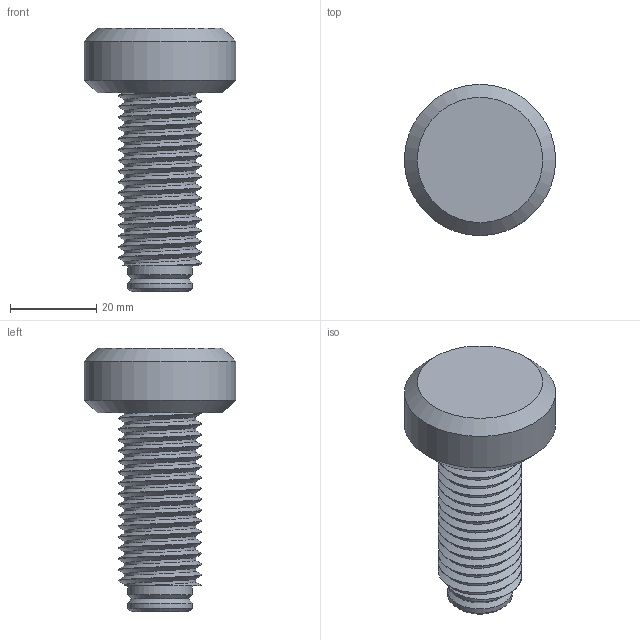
import cadquery as cq

head_diameter = 35.0
head_height = 15.0
head_chamfer = 3.0

thread_length = 40.0
thread_pitch = 2.5
thread_major_diameter = 19.39
thread_minor_diameter = 16.54
thread_crest_width = 0.08
thread_root_width = 0.72
crest_height_at_plus_x = thread_pitch / 4
ridge_embed = 0.3

tip_diameter = 15.0
tip_length = 6.0
tip_chamfer = 0.8
groove_depth = 1.0

major_radius = thread_major_diameter / 2
minor_radius = thread_minor_diameter / 2
tip_radius = tip_diameter / 2


def make_head():
    """Round head with equal chamfers on its upper and lower rims."""
    head_bottom = cq.Workplane("XY").workplane(offset=thread_length)
    head = head_bottom.circle(head_diameter / 2).extrude(head_height)
    return head.faces("<Z or >Z").chamfer(head_chamfer)


def make_thread():
    """Core with a right-hand helical ridge, cut flat at both ends of the threaded length."""
    overrun = 2 * thread_pitch
    helix_start = crest_height_at_plus_x - overrun
    helix_length = thread_length + 2 * overrun

    crest_half = thread_crest_width / 2
    base_half = (thread_pitch - thread_root_width) / 2
    flank_slope = (base_half - crest_half) / (major_radius - minor_radius)
    embedded_radius = minor_radius - ridge_embed
    embedded_half = base_half + flank_slope * ridge_embed

    helix = cq.Wire.makeHelix(thread_pitch, helix_length, minor_radius)
    ridge = (
        cq.Workplane("XZ")
        .moveTo(embedded_radius, -embedded_half)
        .lineTo(major_radius, -crest_half)
        .lineTo(major_radius, crest_half)
        .lineTo(embedded_radius, embedded_half)
        .close()
        .sweep(cq.Workplane(helix), isFrenet=True)
        .translate((0, 0, helix_start))
    )
    core = cq.Workplane("XY").workplane(offset=helix_start).circle(minor_radius).extrude(helix_length)
    envelope = cq.Workplane("XY").circle(head_diameter / 2).extrude(thread_length)
    return core.union(ridge).intersect(envelope)


def make_tip():
    """Round tip with a 90 degree V-groove around its middle and a chamfered end."""
    groove_center = -tip_length / 2
    return (
        cq.Workplane("XZ")
        .moveTo(0, 0)
        .lineTo(tip_radius, 0)
        .lineTo(tip_radius, groove_center + groove_depth)
        .lineTo(tip_radius - groove_depth, groove_center)
        .lineTo(tip_radius, groove_center - groove_depth)
        .lineTo(tip_radius, tip_chamfer - tip_length)
        .lineTo(tip_radius - tip_chamfer, -tip_length)
        .lineTo(0, -tip_length)
        .close()
        .revolve(360, (0, 0, 0), (0, 1, 0))
    )


result = make_thread().union(make_head()).union(make_tip())